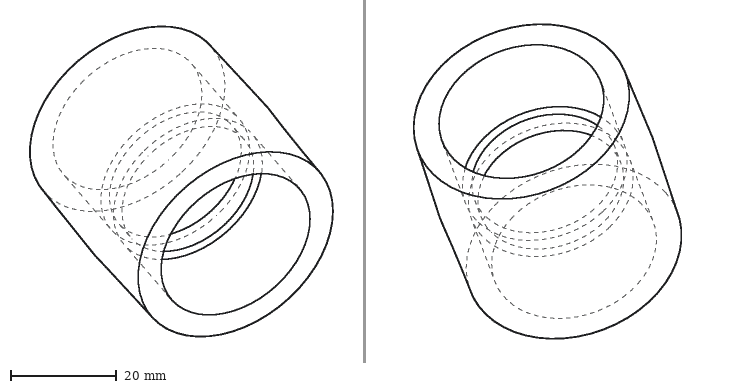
import cadquery as cq

length = 43.0
crown_diameter = 43.0
end_diameter = 41.9
crown_position = -0.5
socket_diameter = 32.0
socket_depth = 19.0
stop_bore_diameter = 28.35

half_length = length / 2
crown_radius = crown_diameter / 2
end_radius = end_diameter / 2


def make_tapered_body():
    """Solid of revolution tapering from the crown down to both ends."""
    profile = (
        cq.Workplane("XY")
        .moveTo(-half_length, 0)
        .lineTo(-half_length, end_radius)
        .lineTo(crown_position, crown_radius)
        .lineTo(half_length, end_radius)
        .lineTo(half_length, 0)
        .close()
    )
    return profile.revolve(360, (0, 0, 0), (1, 0, 0))


def make_bore(diameter, start, depth):
    """Cylinder about the X axis running toward +X from its start."""
    return cq.Workplane("YZ", origin=(start, 0, 0)).circle(diameter / 2).extrude(depth)


result = make_tapered_body().cut(make_bore(stop_bore_diameter, -half_length, length))
for socket_start in (-half_length, half_length - socket_depth):
    result = result.cut(make_bore(socket_diameter, socket_start, socket_depth))